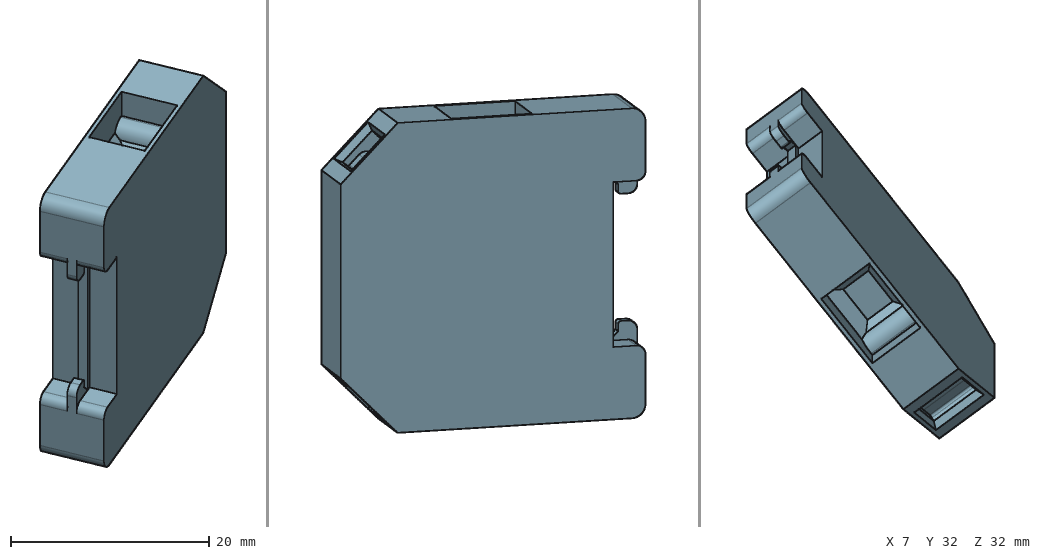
import cadquery as cq
import math

size = 32.0
width = 7.0
half = size / 2
corner_chamfer = 6.0
corner_radius = 1.45

rail_half_height = 8.5
rail_depth = 3.4
rail_edge_radius = 0.95
web_thickness = 1.02
web_front = 2.95
hook_reach = 1.95
hook_inner_y = 2.0
hook_tip_radius = 0.3
hook_half_gap = rail_half_height - hook_reach

pocket_width = 6.08
screw_front = 11.8
screw_back = 20.3
screw_depth = 5.4
screw_floor_width = 3.2
screw_floor_front = 13.57
screw_floor_back = 17.6
clamp_depth = 3.0
clamp_ledge = 0.22
clamp_radius = 1.65

wire_y_low = 27.23
wire_y_high = 30.8
wire_mouth_depth = 0.8
wire_mouth_inset = 0.35
wire_ledge_depth = 1.55
wire_ledge_length = 1.7
wire_lip_radius = 1.0
wire_fillet = 0.25


def quarter_bend(radius):
    """Offset of a quarter arc's midpoint from each of the two sides it is tangent to."""
    return radius * (1 - math.sqrt(0.5))


def slab(profile, thickness):
    """Extrude a closed YZ profile symmetrically about X = 0."""
    return profile.extrude(thickness / 2, both=True)


def make_housing():
    """Square plate with chamfered far corners and rounded rail-side corners."""
    plate = cq.Workplane("XY").box(width, size, size).translate((0, half, 0))
    plate = plate.edges("|X and >Y").chamfer(corner_chamfer)
    return plate.edges("|X and <Y").fillet(corner_radius)


def make_rail_recess():
    """Full-width recess whose mouth flares out with convex rounded edges."""
    mouth = rail_half_height + rail_edge_radius
    bend = quarter_bend(rail_edge_radius)
    profile = (
        cq.Workplane("YZ")
        .moveTo(rail_depth, -rail_half_height)
        .lineTo(rail_depth, rail_half_height)
        .lineTo(rail_edge_radius, rail_half_height)
        .threePointArc((bend, rail_half_height + bend), (0, mouth))
        .lineTo(0, -mouth)
        .threePointArc((bend, -rail_half_height - bend), (rail_edge_radius, -rail_half_height))
        .close()
    )
    return slab(profile, width)


def make_web():
    """Thin rib across the bottom of the recess."""
    overlap = rail_depth + web_thickness
    profile = (
        cq.Workplane("YZ")
        .moveTo(web_front, -rail_half_height)
        .lineTo(web_front, rail_half_height)
        .lineTo(overlap, rail_half_height)
        .lineTo(overlap, -rail_half_height)
        .close()
    )
    return slab(profile, web_thickness)


def make_hook():
    """Upper hook: a 45 degree underside, then a nose with rounded corners."""
    root = rail_half_height + rail_edge_radius
    slope_end = rail_half_height - (web_front - hook_inner_y)
    tip_bend = quarter_bend(hook_tip_radius)
    nose_bend = quarter_bend(rail_edge_radius)
    profile = (
        cq.Workplane("YZ")
        .moveTo(web_front, root)
        .lineTo(web_front, rail_half_height)
        .lineTo(hook_inner_y, slope_end)
        .lineTo(hook_inner_y, hook_half_gap + hook_tip_radius)
        .threePointArc(
            (hook_inner_y - tip_bend, hook_half_gap + tip_bend),
            (hook_inner_y - hook_tip_radius, hook_half_gap),
        )
        .lineTo(rail_edge_radius, hook_half_gap)
        .threePointArc(
            (nose_bend, hook_half_gap + nose_bend),
            (0, hook_half_gap + rail_edge_radius),
        )
        .lineTo(0, root)
        .close()
    )
    return slab(profile, web_thickness)


def screw_shaft(depth):
    """Straight-walled shaft sunk from the top face to the given depth."""
    return (
        cq.Workplane("XY", origin=(0, (screw_front + screw_back) / 2, half - depth))
        .rect(pocket_width, screw_back - screw_front)
        .extrude(depth)
    )


def make_screw_pocket():
    """Shaft from the top face, 45 degree funnel, and a rounded clamp left standing at the back."""
    floor_z = half - screw_depth
    straight_depth = screw_depth - (screw_floor_front - screw_front)
    funnel = (
        cq.Workplane("XY", origin=(0, (screw_floor_front + screw_floor_back) / 2, floor_z))
        .rect(screw_floor_width, screw_floor_back - screw_floor_front)
        .workplane(offset=screw_depth)
        .rect(
            screw_floor_width + 2 * screw_depth,
            screw_floor_back - screw_floor_front + 2 * screw_depth,
        )
        .loft(ruled=True)
    )
    clamp_top = half - clamp_depth
    clamp_front = screw_back - clamp_ledge - clamp_radius
    clamp_bend = quarter_bend(clamp_radius)
    clamp = slab(
        cq.Workplane("YZ")
        .moveTo(screw_back, clamp_top)
        .lineTo(screw_back - clamp_ledge, clamp_top)
        .threePointArc(
            (clamp_front + clamp_bend, clamp_top - clamp_bend),
            (clamp_front, clamp_top - clamp_radius),
        )
        .lineTo(clamp_front, floor_z)
        .lineTo(screw_back, floor_z)
        .close(),
        pocket_width,
    )
    tapered_part = screw_shaft(screw_depth).intersect(funnel)
    return tapered_part.union(screw_shaft(straight_depth)).cut(clamp)


def make_wire_pocket():
    """Tapered mouth on the chamfer, a ledge with a rounded lip, and a deeper channel beside it."""
    middle_y = (wire_y_low + wire_y_high) / 2
    middle_z = half + size - corner_chamfer - middle_y
    length = (wire_y_high - wire_y_low) * math.sqrt(2)
    inner_width = pocket_width - 2 * wire_mouth_inset
    inner_length = length - 2 * wire_mouth_inset
    face = cq.Plane(origin=(0, middle_y, middle_z), xDir=(1, 0, 0), normal=(0, 1, 1))
    mouth = (
        cq.Workplane(face)
        .rect(pocket_width, length)
        .workplane(offset=-wire_mouth_depth)
        .rect(inner_width, inner_length)
        .loft(ruled=True)
    )
    section = cq.Plane(origin=(0, middle_y, middle_z), xDir=(0, 1, -1), normal=(1, 0, 0))
    end = inner_length / 2
    lip_start = end - wire_ledge_length
    channel_side = lip_start - wire_lip_radius
    channel_depth = wire_ledge_depth + wire_lip_radius
    lip_bend = quarter_bend(wire_lip_radius)
    fillet_bend = quarter_bend(wire_fillet)
    inner = slab(
        cq.Workplane(section)
        .moveTo(-end, -wire_mouth_depth)
        .lineTo(-end, -channel_depth)
        .lineTo(channel_side, -channel_depth)
        .threePointArc(
            (channel_side + lip_bend, -wire_ledge_depth - lip_bend),
            (lip_start, -wire_ledge_depth),
        )
        .lineTo(end - wire_fillet, -wire_ledge_depth)
        .threePointArc(
            (end - fillet_bend, -wire_ledge_depth + fillet_bend),
            (end, -wire_ledge_depth + wire_fillet),
        )
        .lineTo(end, -wire_mouth_depth)
        .close(),
        inner_width,
    )
    return mouth.union(inner)


def on_both_ends(solid):
    """Pair an upper feature with its mirror image about Z = 0."""
    return [solid, solid.mirror("XY")]


result = make_housing().cut(make_rail_recess()).union(make_web())
for hook in on_both_ends(make_hook()):
    result = result.union(hook)
for pocket in on_both_ends(make_screw_pocket()) + on_both_ends(make_wire_pocket()):
    result = result.cut(pocket)